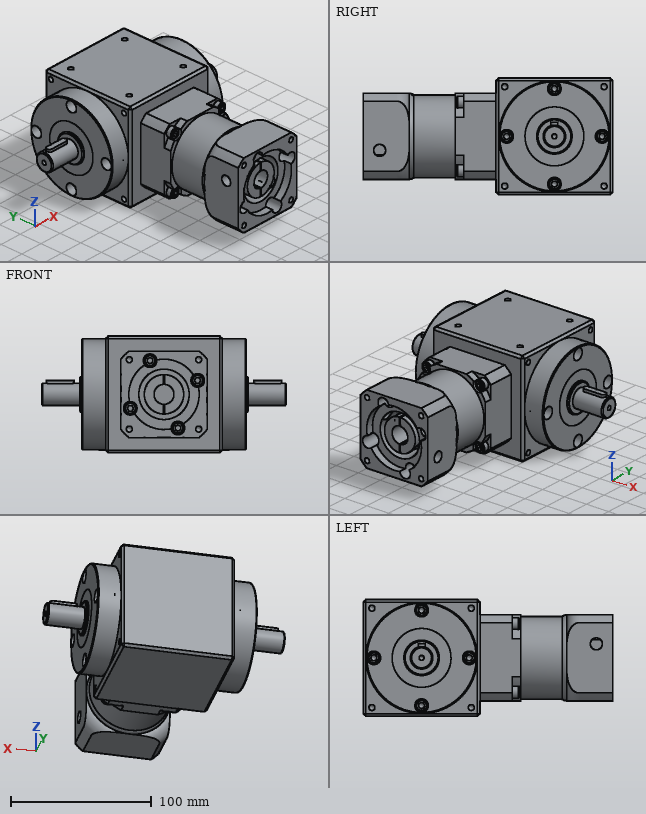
import cadquery as cq
import math


CASE_SIZE = 83.0
CASE_CHAMFER = 2.0
CASE_TOP_HOLE_OFFSET = 28.2
CASE_SIDE_HOLE_OFFSET = 35.3
TAPPED_RADIUS = 2.1
TAPPED_DEPTH = 8.0
DRILL_TIP_HEIGHT = 1.2

FLANGE_RADIUS = 39.5
FLANGE_THICKNESS = 16.9
FLANGE_CHAMFER = 0.7
FLANGE_SCREW_CIRCLE = 33.9
FLANGE_SCREW_BORE_DEPTH = 12.5

SCREW_HEAD_RADIUS = 4.3
SCREW_HEAD_HEIGHT = 5.0
SCREW_HEAD_CHAMFER = 0.7
SCREW_BORE_RADIUS = 4.8
HEX_ACROSS_FLATS = 3.9
SOCKET_DEPTH = 2.5

SHAFT_RADIUS = 8.0
SHAFT_LENGTH = 174.0
SHAFT_CHAMFER = 0.9
SLEEVE_RADIUS = 12.6
SLEEVE_PROJECTION = 1.6
SLEEVE_CHAMFER = 0.9
SEAL_RADIUS = 21.0
SEAL_THICKNESS = 7.1
KEY_LENGTH = 20.0
KEY_WIDTH = 5.0
KEY_TOP = 10.0
KEY_CENTRE = 73.8
CENTRE_HOLE_RADIUS = 1.8
CENTRE_HOLE_DEPTH = 5.3

SQUARE_SIZE = 61.5
CORNER_RADIUS = 39.5
TUBE_RADIUS = 29.5
INPUT_FLANGE_LENGTH = 29.1
TUBE_LENGTH = 29.3
COLLAR_LENGTH = 3.2
COLLAR_ROUND = 5.5
SHOULDER_RADIUS = 8.9
INPUT_LENGTH = 94.5
NOTCH_DEPTH = 6.2
NOTCH_RADIUS = 33.5
NOTCH_SCREW_CIRCLE = 34.5

MOTOR_HOLE_OFFSET = 24.7
PILOT_RADIUS = 25.0
PILOT_DEPTH = 6.5
MOTOR_SCREW_CIRCLE = 26.0
MOTOR_SCREW_ANGLE = 22.5
MOTOR_SCREW_BORE_DEPTH = 23.0
HUB_BORE_RADIUS = 18.0
ACCESS_RADIUS = 4.3
ACCESS_DISTANCE = 11.7
CLAMP_SCREW_OFFSET = 10.0

HUB_RADIUS = 14.0
HUB_LENGTH = 22.2
HUB_HOLE_RADIUS = 7.1
SLIT_WIDTH = 1.0
SLIT_DEPTH = 12.5
CLAMP_SCREW_SEAT = 5.3

CASE_HALF = CASE_SIZE / 2
SQUARE_HALF = SQUARE_SIZE / 2
FLANGE_END = CASE_HALF + FLANGE_THICKNESS
SHAFT_END = SHAFT_LENGTH / 2
INPUT_FLANGE_END = CASE_HALF + INPUT_FLANGE_LENGTH
COLLAR_START = INPUT_FLANGE_END + TUBE_LENGTH
SHOULDER_START = COLLAR_START + COLLAR_LENGTH
MOTOR_FACE = CASE_HALF + INPUT_LENGTH
PILOT_FLOOR = MOTOR_FACE - PILOT_DEPTH
HUB_SEAT = PILOT_FLOOR - HUB_LENGTH
ACCESS_POSITION = MOTOR_FACE - ACCESS_DISTANCE

SIDES = (-1, 1)
CORNERS = [(u, v) for u in SIDES for v in SIDES]
QUARTER_TURNS = (0, 90, 180, 270)


def rod(radius, length, start, direction):
    """Cylinder from a start point along a direction."""
    return cq.Workplane(cq.Solid.makeCylinder(radius, length, cq.Vector(*start), cq.Vector(*direction)))


def drilled_hole(radius, depth, start, direction):
    """Blind hole tool with a conical drill tip."""
    tip_start = cq.Vector(*start) + cq.Vector(*direction) * depth
    tip = cq.Solid.makeCone(radius, 0, DRILL_TIP_HEIGHT, tip_start, cq.Vector(*direction))
    return rod(radius, depth, start, direction).union(cq.Workplane(tip))


def input_rod(radius, start, end):
    """Cylinder on the input axis between two distances from the shaft axis."""
    return rod(radius, end - start, (0, -start, 0), (0, -1, 0))


def input_block(start, end):
    """Square block on the input axis between two distances from the shaft axis."""
    return cq.Workplane("XY").box(SQUARE_SIZE, end - start, SQUARE_SIZE).translate((0, -(start + end) / 2, 0))


def screw_head():
    """Screw head standing on the XY plane, without its socket."""
    head = cq.Workplane("XY").circle(SCREW_HEAD_RADIUS).extrude(SCREW_HEAD_HEIGHT)
    return head.faces(">Z").chamfer(SCREW_HEAD_CHAMFER)


def hex_screw_head():
    corner_diameter = HEX_ACROSS_FLATS / math.cos(math.radians(30))
    return screw_head().faces(">Z").workplane().polygon(6, corner_diameter).cutBlind(-SOCKET_DEPTH)


def drilled_screw_head():
    return screw_head().cut(drilled_hole(TAPPED_RADIUS, SOCKET_DEPTH, (0, 0, SCREW_HEAD_HEIGHT), (0, 0, -1)))


def make_case():
    case = cq.Workplane("XY").box(CASE_SIZE, CASE_SIZE, CASE_SIZE).edges().chamfer(CASE_CHAMFER)
    for u, v in CORNERS:
        top_start = (u * CASE_TOP_HOLE_OFFSET, v * CASE_TOP_HOLE_OFFSET, CASE_HALF)
        case = case.cut(drilled_hole(TAPPED_RADIUS, TAPPED_DEPTH, top_start, (0, 0, -1)))
        for side in SIDES:
            side_start = (side * CASE_HALF, u * CASE_SIDE_HOLE_OFFSET, v * CASE_SIDE_HOLE_OFFSET)
            case = case.cut(drilled_hole(TAPPED_RADIUS, TAPPED_DEPTH, side_start, (-side, 0, 0)))
    return case


def make_output_flange(side):
    """Round flange on one X side, with four sunk screws."""
    flange = rod(FLANGE_RADIUS, FLANGE_THICKNESS, (CASE_HALF, 0, 0), (1, 0, 0))
    flange = flange.faces(">X").chamfer(FLANGE_CHAMFER)
    bore_floor = FLANGE_END - FLANGE_SCREW_BORE_DEPTH
    screw_place = (bore_floor, 0, FLANGE_SCREW_CIRCLE)
    bore = rod(SCREW_BORE_RADIUS, FLANGE_SCREW_BORE_DEPTH, screw_place, (1, 0, 0))
    head = drilled_screw_head().rotate((0, 0, 0), (0, 1, 0), 90).translate(screw_place)
    for angle in QUARTER_TURNS:
        flange = flange.cut(bore.rotate((0, 0, 0), (1, 0, 0), angle))
        flange = flange.union(head.rotate((0, 0, 0), (1, 0, 0), angle))
    return flange if side > 0 else flange.mirror("YZ")


def make_input_flange():
    """Square flange with a screw in a notch at each corner."""
    block = input_block(CASE_HALF, INPUT_FLANGE_END)
    block = block.intersect(input_rod(CORNER_RADIUS, CASE_HALF, INPUT_FLANGE_END))
    notch_floor = INPUT_FLANGE_END - NOTCH_DEPTH
    corner = cq.Workplane("XY").box(SQUARE_HALF, NOTCH_DEPTH, SQUARE_HALF, centered=False)
    corner = corner.translate((0, -INPUT_FLANGE_END, 0))
    screw_offset = NOTCH_SCREW_CIRCLE * math.sqrt(0.5)
    screw_place = (screw_offset, -notch_floor, screw_offset)
    notch = corner.cut(input_rod(NOTCH_RADIUS, notch_floor, INPUT_FLANGE_END))
    notch = notch.union(rod(SCREW_BORE_RADIUS, NOTCH_DEPTH, screw_place, (0, -1, 0)))
    head = hex_screw_head().rotate((0, 0, 0), (1, 0, 0), 90).translate(screw_place)
    for angle in QUARTER_TURNS:
        block = block.cut(notch.rotate((0, 0, 0), (0, 1, 0), angle))
        block = block.union(head.rotate((0, 0, 0), (0, 1, 0), angle))
    return block


def make_motor_adapter():
    """Tube with a rounded collar that widens into the square motor block with rounded shoulders."""
    arc_drop = SHOULDER_RADIUS * math.sqrt(0.5)
    arc_centre = (CORNER_RADIUS - SHOULDER_RADIUS, -(SHOULDER_START + SHOULDER_RADIUS))
    turned = (
        cq.Workplane("XY")
        .moveTo(0, -INPUT_FLANGE_END)
        .lineTo(TUBE_RADIUS, -INPUT_FLANGE_END)
        .lineTo(TUBE_RADIUS, -COLLAR_START)
        .radiusArc((SQUARE_HALF, -SHOULDER_START), COLLAR_ROUND)
        .threePointArc(
            (arc_centre[0] + arc_drop, arc_centre[1] + arc_drop),
            (CORNER_RADIUS, arc_centre[1]),
        )
        .lineTo(CORNER_RADIUS, -MOTOR_FACE)
        .lineTo(0, -MOTOR_FACE)
        .close()
        .revolve(360, (0, 0, 0), (0, 1, 0))
    )
    return turned.intersect(input_block(INPUT_FLANGE_END, MOTOR_FACE))


def cut_motor_side(body):
    """Pilot recess, hub bore, sunk screws, tapped holes and the access holes for the clamp screws."""
    body = body.cut(input_rod(PILOT_RADIUS, PILOT_FLOOR, MOTOR_FACE))
    body = body.cut(input_rod(HUB_BORE_RADIUS, HUB_SEAT, PILOT_FLOOR))

    bore_floor = MOTOR_FACE - MOTOR_SCREW_BORE_DEPTH
    bore = rod(SCREW_BORE_RADIUS, MOTOR_SCREW_BORE_DEPTH, (0, -bore_floor, 0), (0, -1, 0))
    head = hex_screw_head().rotate((0, 0, 0), (1, 0, 0), 90).translate((0, -bore_floor, 0))
    first_angle = math.radians(MOTOR_SCREW_ANGLE)
    first_place = (MOTOR_SCREW_CIRCLE * math.cos(first_angle), 0, MOTOR_SCREW_CIRCLE * math.sin(first_angle))
    for angle in QUARTER_TURNS:
        body = body.cut(bore.translate(first_place).rotate((0, 0, 0), (0, 1, 0), angle))
        body = body.union(head.translate(first_place).rotate((0, 0, 0), (0, 1, 0), angle))

    for u, v in CORNERS:
        start = (u * MOTOR_HOLE_OFFSET, -MOTOR_FACE, v * MOTOR_HOLE_OFFSET)
        body = body.cut(drilled_hole(TAPPED_RADIUS, TAPPED_DEPTH, start, (0, 1, 0)))

    for side in SIDES:
        access_start = (side * SQUARE_HALF, -ACCESS_POSITION, -side * CLAMP_SCREW_OFFSET)
        body = body.cut(rod(ACCESS_RADIUS, SQUARE_HALF, access_start, (-side, 0, 0)))
    return body


def make_shaft_blank():
    """Turned shape of the output shaft with its sleeve and flush seal discs."""
    shoulder = FLANGE_END + SLEEVE_PROJECTION
    journals = rod(SHAFT_RADIUS, SHAFT_LENGTH, (-SHAFT_END, 0, 0), (1, 0, 0))
    sleeve = rod(SLEEVE_RADIUS, 2 * shoulder, (-shoulder, 0, 0), (1, 0, 0))
    blank = journals.faces("<X or >X").chamfer(SHAFT_CHAMFER)
    blank = blank.union(sleeve.faces("<X or >X").chamfer(SLEEVE_CHAMFER))
    for side in SIDES:
        blank = blank.union(rod(SEAL_RADIUS, SEAL_THICKNESS, (side * FLANGE_END, 0, 0), (-side, 0, 0)))
    return blank


def make_housing(shaft_blank):
    """Case, output flanges and input stage in one solid, bored to fit the output shaft."""
    housing = make_case()
    for side in SIDES:
        housing = housing.union(make_output_flange(side))
    housing = housing.union(make_input_flange()).union(make_motor_adapter())
    return cut_motor_side(housing).cut(shaft_blank)


def make_output_shaft(blank):
    """Through shaft with a round-ended key and a centre hole at each end."""
    shaft = blank
    for side in SIDES:
        key = cq.Workplane("XY").center(side * KEY_CENTRE, 0).slot2D(KEY_LENGTH, KEY_WIDTH).extrude(KEY_TOP)
        centre_hole = drilled_hole(
            CENTRE_HOLE_RADIUS, CENTRE_HOLE_DEPTH, (side * SHAFT_END, 0, 0), (-side, 0, 0)
        )
        shaft = shaft.union(key).cut(centre_hole)
    return shaft


def make_clamping_hub():
    """Slit hub that grips the motor shaft, with two opposed clamp screw seats."""
    hub = input_rod(HUB_RADIUS, HUB_SEAT, PILOT_FLOOR).cut(input_rod(HUB_HOLE_RADIUS, HUB_SEAT, PILOT_FLOOR))
    slit = cq.Workplane("XY").box(SLIT_WIDTH, SLIT_DEPTH, 2 * HUB_RADIUS)
    hub = hub.cut(slit.translate((0, SLIT_DEPTH / 2 - PILOT_FLOOR, 0)))
    for side in SIDES:
        seat_start = (side * CLAMP_SCREW_SEAT, -ACCESS_POSITION, -side * CLAMP_SCREW_OFFSET)
        hub = hub.cut(rod(ACCESS_RADIUS, HUB_RADIUS, seat_start, (side, 0, 0)))
    return hub


shaft_blank = make_shaft_blank()
housing = make_housing(shaft_blank)
output_shaft = make_output_shaft(shaft_blank)
clamping_hub = make_clamping_hub()

result = cq.Compound.makeCompound(
    [
        housing.solids().val(),
        output_shaft.solids().val(),
        clamping_hub.solids().val(),
    ]
)